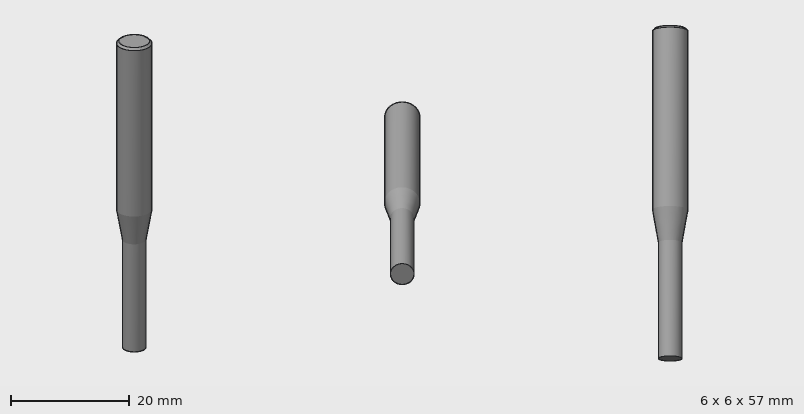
import cadquery as cq

total_length = 57.0
shank_diameter = 6.0
neck_diameter = 4.0
neck_length = 20.0
taper_length = 5.65
end_chamfer = 0.4

shank_radius = shank_diameter / 2
neck_radius = neck_diameter / 2
shank_start = neck_length + taper_length

half_profile = (
    cq.Workplane("XZ")
    .moveTo(0, 0)
    .lineTo(neck_radius, 0)
    .lineTo(neck_radius, neck_length)
    .lineTo(shank_radius, shank_start)
    .lineTo(shank_radius, total_length - end_chamfer)
    .lineTo(shank_radius - end_chamfer, total_length)
    .lineTo(0, total_length)
    .close()
)

result = half_profile.revolve(360, (0, 0, 0), (0, 1, 0))